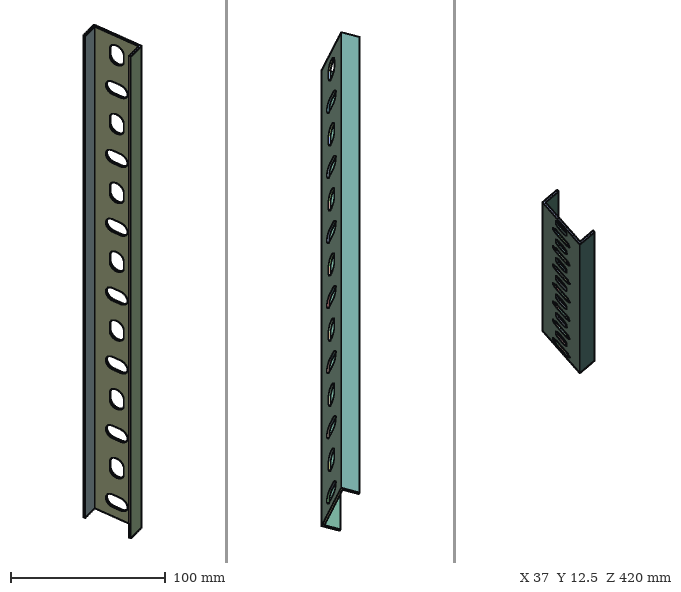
import cadquery as cq

length = 420.0
width = 37.0
depth = 12.5
thickness = 1.5

slot_count = 14
slot_length = 17.0
slot_width = 11.0
slot_pitch = length / slot_count
slot_row_drop = 1.45


def channel():
    """U-shaped channel along Z, open toward -Y, with its web at +Y."""
    outer = cq.Workplane("XY").box(width, depth, length)
    inner = (
        cq.Workplane("XY")
        .box(width - 2 * thickness, depth, length)
        .translate((0, -thickness, 0))
    )
    return outer.cut(inner)


def slot_cutter(height, angle):
    """Round-ended slot centred at the given height and passing through the web."""
    return (
        cq.Workplane("XZ", origin=(0, 0, height))
        .slot2D(slot_length, slot_width, angle)
        .extrude(depth, both=True)
    )


result = channel()
for index in range(slot_count):
    slot_height = length / 2 - slot_row_drop - (index + 0.5) * slot_pitch
    slot_angle = 90 if index % 2 == 0 else 0
    result = result.cut(slot_cutter(slot_height, slot_angle))